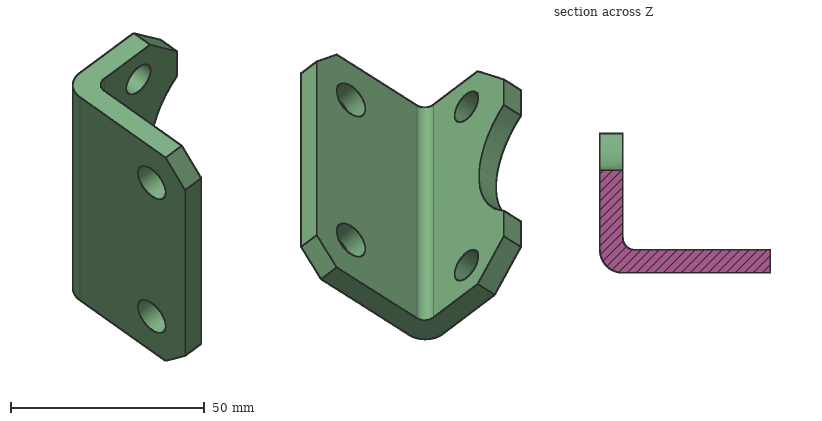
import cadquery as cq
import math

length_x = 44.0
length_y = 36.0
height = 76.0
thickness = 6.0
outer_bend_radius = 6.0
inner_bend_radius = 3.0

mount_corner_cut = 7.0
mount_hole_diameter = 10.0
mount_hole_x = 32.0
mount_hole_spacing = 50.0

flange_corner_cut = 10.0
flange_axis_y = 50.0
pilot_radius = 23.5
bolt_circle_radius = 40.0
bolt_hole_diameter = 9.0
bolt_angle = math.radians(45)


def bent_plate():
    """L-shaped section with a rounded bend, extruded symmetrically about Z = 0."""
    section = (
        cq.Workplane("XY")
        .polyline([
            (0, 0),
            (length_x, 0),
            (length_x, thickness),
            (thickness, thickness),
            (thickness, length_y),
            (0, length_y),
        ])
        .close()
        .extrude(height / 2, both=True)
    )
    rounded = section.edges(cq.selectors.NearestToPointSelector((0, 0, 0))).fillet(outer_bend_radius)
    inner_corner = cq.selectors.NearestToPointSelector((thickness, thickness, 0))
    return rounded.edges(inner_corner).fillet(inner_bend_radius)


def cut_corners(body):
    """Chamfer the upper and lower corners at the free end of each leg."""
    body = body.edges("|Y and >X").chamfer(mount_corner_cut)
    return body.edges("|X and >Y").chamfer(flange_corner_cut)


def mount_holes():
    """Two round cutters through the leg along X."""
    return (
        cq.Workplane("XZ")
        .pushPoints([(mount_hole_x, side * mount_hole_spacing / 2) for side in (-1, 1)])
        .circle(mount_hole_diameter / 2)
        .extrude(-thickness)
    )


def flange_cutters():
    """Pilot cutout and two bolt holes through the leg along Y."""
    hole_y = flange_axis_y - bolt_circle_radius * math.cos(bolt_angle)
    hole_z = bolt_circle_radius * math.sin(bolt_angle)
    bolt_holes = (
        cq.Workplane("YZ")
        .pushPoints([(hole_y, side * hole_z) for side in (-1, 1)])
        .circle(bolt_hole_diameter / 2)
        .extrude(thickness)
    )
    pilot = cq.Workplane("YZ").center(flange_axis_y, 0).circle(pilot_radius).extrude(thickness)
    return bolt_holes.union(pilot)


result = cut_corners(bent_plate()).cut(mount_holes()).cut(flange_cutters())